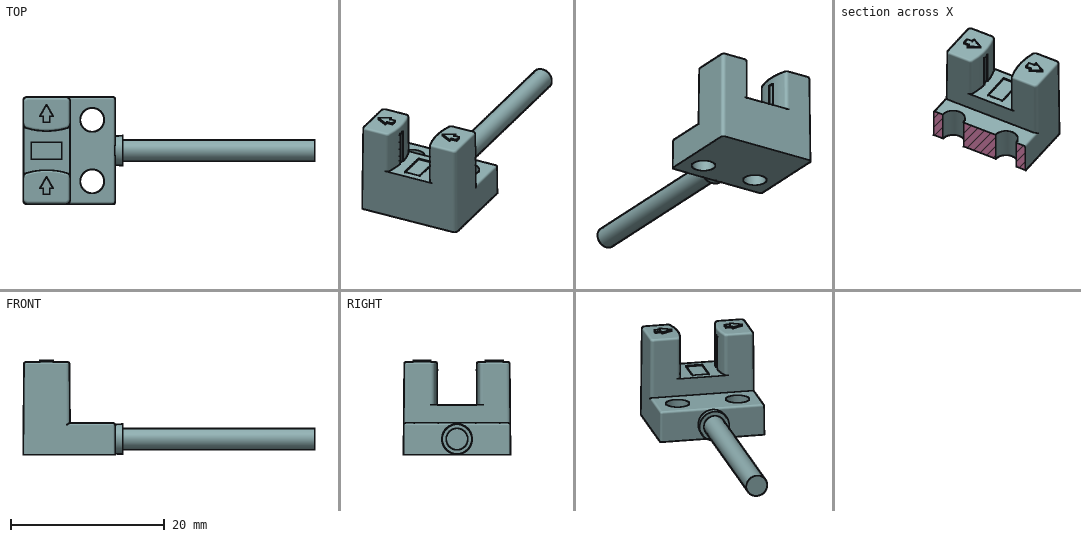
import cadquery as cq
import math


BODY_LENGTH = 12.0
BODY_WIDTH = 13.97
BODY_HEIGHT = 12.1
LEDGE_HEIGHT = 4.15
ARM_LENGTH = 6.16
DRAFT_ANGLE = 0.5
CORNER_RADIUS = 0.5
EDGE_RADIUS = 0.3

SLOT_FLOOR = 6.5
SLOT_MIDDLE_WIDTH = 5.07
SLOT_END_WIDTH = 6.15
PRONG_CENTER_X = 3.05
WINDOW_LENGTH = 0.85
WINDOW_TOP = 11.0
PANEL_LENGTH = 4.0
PANEL_WIDTH = 2.2
RECESS_DEPTH = 0.15

HOLE_DIAMETER = 3.08
HOLE_X = 9.0
HOLE_SPACING = 8.0

CABLE_DIAMETER = 2.8
CABLE_END_X = 37.99
CABLE_Z = 2.05
COLLAR_ROOT_DIAMETER = 3.85
COLLAR_END_DIAMETER = 3.95
COLLAR_LENGTH = 1.0
EMBED = 0.5

ARROW_HEIGHT = 0.2
ARROW_WIDTH = 1.7
ARROW_SHAFT_WIDTH = 0.8
ARROW_HEAD_LENGTH = 1.5
ARROW_LENGTH = 2.3
ARROW_TIPS_Y = (6.0, -3.4)


def drafted_block(length, height):
    """Block standing on the bottom face with its sides leaning inwards."""
    return (
        cq.Workplane("XY")
        .center(length / 2, 0)
        .rect(length, BODY_WIDTH)
        .extrude(height, taper=DRAFT_ANGLE)
    )


def upright_edges(block, side):
    """Nearly vertical edges on the -X ("<X") or +X (">X") side of a block."""
    box = block.val().BoundingBox()
    middle_x = (box.xmin + box.xmax) / 2

    def belongs(edge):
        is_upright = abs(edge.tangentAt(0.5).z) > math.cos(math.radians(2 * DRAFT_ANGLE))
        on_high_side = edge.Center().x > middle_x
        return is_upright and on_high_side == (side == ">X")

    return block.newObject([edge for edge in block.edges().vals() if belongs(edge)])


def make_base():
    base = drafted_block(BODY_LENGTH, LEDGE_HEIGHT)
    base = upright_edges(base, "<X").fillet(CORNER_RADIUS)
    base = upright_edges(base, ">X").fillet(EDGE_RADIUS)
    return base.faces(">Z").edges().fillet(EDGE_RADIUS)


def make_slot():
    """Slot along X whose two walls bulge towards each other."""
    middle_x = ARM_LENGTH / 2
    end_y = SLOT_END_WIDTH / 2
    crown_y = SLOT_MIDDLE_WIDTH / 2
    return (
        cq.Workplane("XY", origin=(0, 0, SLOT_FLOOR))
        .moveTo(0, -end_y)
        .threePointArc((middle_x, -crown_y), (ARM_LENGTH, -end_y))
        .lineTo(ARM_LENGTH, end_y)
        .threePointArc((middle_x, crown_y), (0, end_y))
        .close()
        .extrude(BODY_HEIGHT - SLOT_FLOOR)
    )


def make_arm():
    arm = drafted_block(ARM_LENGTH, BODY_HEIGHT).cut(make_slot())
    for side in ("<X", ">X"):
        arm = upright_edges(arm, side).fillet(CORNER_RADIUS)
    return arm.faces(">Z").edges().fillet(EDGE_RADIUS)


def make_recesses():
    """Upright windows in the slot walls and a rectangular panel in its floor."""
    windows = (
        cq.Workplane("XY", origin=(PRONG_CENTER_X, 0, SLOT_FLOOR))
        .rect(WINDOW_LENGTH, SLOT_MIDDLE_WIDTH + 2 * RECESS_DEPTH)
        .extrude(WINDOW_TOP - SLOT_FLOOR)
    )
    panel = (
        cq.Workplane("XY", origin=(PRONG_CENTER_X, 0, SLOT_FLOOR))
        .rect(PANEL_LENGTH, PANEL_WIDTH)
        .extrude(-RECESS_DEPTH)
    )
    return windows.union(panel)


def make_holes():
    return (
        cq.Workplane("XY")
        .pushPoints([(HOLE_X, -HOLE_SPACING / 2), (HOLE_X, HOLE_SPACING / 2)])
        .circle(HOLE_DIAMETER / 2)
        .extrude(LEDGE_HEIGHT)
    )


def make_cable():
    """Cable with a collar that widens slightly away from the body."""
    start_x = BODY_LENGTH - EMBED
    collar_end_x = BODY_LENGTH + COLLAR_LENGTH
    return (
        cq.Workplane("XZ", origin=(0, 0, CABLE_Z))
        .moveTo(start_x, 0)
        .lineTo(start_x, COLLAR_ROOT_DIAMETER / 2)
        .lineTo(BODY_LENGTH, COLLAR_ROOT_DIAMETER / 2)
        .lineTo(collar_end_x, COLLAR_END_DIAMETER / 2)
        .lineTo(collar_end_x, CABLE_DIAMETER / 2)
        .lineTo(CABLE_END_X, CABLE_DIAMETER / 2)
        .lineTo(CABLE_END_X, 0)
        .close()
        .revolve(360, (0, 0, 0), (1, 0, 0))
    )


def make_arrow(tip_y):
    half_head = ARROW_WIDTH / 2
    half_shaft = ARROW_SHAFT_WIDTH / 2
    return (
        cq.Workplane("XY", origin=(PRONG_CENTER_X, tip_y, BODY_HEIGHT))
        .polyline([
            (0, 0),
            (half_head, -ARROW_HEAD_LENGTH),
            (half_shaft, -ARROW_HEAD_LENGTH),
            (half_shaft, -ARROW_LENGTH),
            (-half_shaft, -ARROW_LENGTH),
            (-half_shaft, -ARROW_HEAD_LENGTH),
            (-half_head, -ARROW_HEAD_LENGTH),
        ])
        .close()
        .extrude(ARROW_HEIGHT)
    )


result = make_base().union(make_arm())
result = result.cut(make_recesses()).cut(make_holes())
result = result.union(make_cable())
for arrow_tip_y in ARROW_TIPS_Y:
    result = result.union(make_arrow(arrow_tip_y))